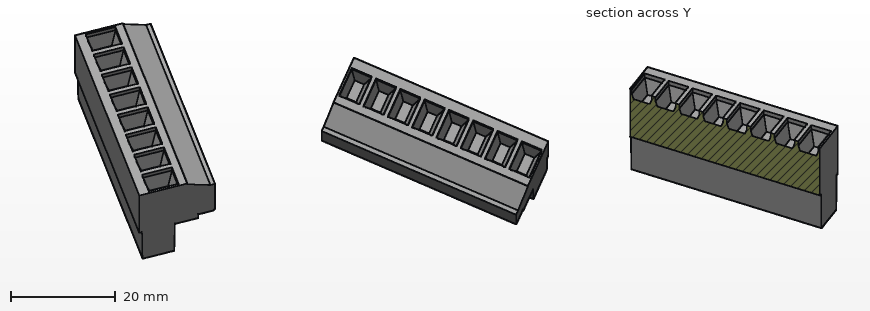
import cadquery as cq
import math

LENGTH = 40.65
DEPTH = 15.2
HEIGHT = 20.0
POLE_COUNT = 8
PITCH = LENGTH / POLE_COUNT

RIDGE_Y = 9.65
RIDGE_STEP = 0.25
BACK_LEDGE = 0.95
BACK_TOP_Z = HEIGHT - 2.3
BACK_BOTTOM_Z = 9.45
BACK_CORNER_RADIUS = 0.65
STEP_Y = 11.83
SHOULDER_Z = 8.35

PLUG_FRONT_Y = 0.53
PLUG_BACK_Y = 7.15
PLUG_TAPER = 0.12

POCKET_WIDTH = 4.2
POCKET_DEPTH_Y = 5.97
POCKET_FRONT_Y = 2.05
MOUTH_DEPTH = 1.0
FUNNEL_INSET = 1.1
FUNNEL_DEPTH = 3.05

LATCH_LENGTH = LENGTH - 2 * PITCH
LATCH_FRONT_Y = 9.65
LATCH_ROOT_THICKNESS = 1.8
LATCH_TIP_THICKNESS = 1.25
LATCH_DROP = 4.25
LATCH_TIP_LAND = 0.33
BARB_PROJECTION = 0.3
BARB_TOP_DROP = 2.75
BARB_HEIGHT = 0.85
BACK_BEVEL_DROP = 3.05


def extrude_profile(points, length):
    """Extrude a closed (Y, Z) outline along X, centred on the YZ plane."""
    return cq.Workplane("YZ").polyline(points).close().extrude(length / 2, both=True)


def make_housing():
    outline = [
        (0, HEIGHT),
        (RIDGE_Y, HEIGHT),
        (RIDGE_Y, HEIGHT - RIDGE_STEP),
        (DEPTH - BACK_LEDGE, BACK_TOP_Z),
        (DEPTH, BACK_TOP_Z),
        (DEPTH, BACK_BOTTOM_Z),
        (STEP_Y, BACK_BOTTOM_Z),
        (STEP_Y, SHOULDER_Z),
        (PLUG_BACK_Y, SHOULDER_Z),
        (PLUG_BACK_Y - PLUG_TAPER, 0),
        (PLUG_FRONT_Y + PLUG_TAPER, 0),
        (PLUG_FRONT_Y, SHOULDER_Z),
        (0, SHOULDER_Z),
    ]
    housing = extrude_profile(outline, LENGTH)
    lower_back_edge = housing.faces(">Y").edges("<Z")
    return lower_back_edge.fillet(BACK_CORNER_RADIUS)


def make_latch():
    barb_y = LATCH_FRONT_Y - BARB_PROJECTION
    barb_top_z = SHOULDER_Z - BARB_TOP_DROP
    tip_z = SHOULDER_Z - LATCH_DROP
    outline = [
        (LATCH_FRONT_Y, SHOULDER_Z),
        (LATCH_FRONT_Y, barb_top_z),
        (barb_y, barb_top_z - BARB_PROJECTION),
        (barb_y, barb_top_z - BARB_HEIGHT),
        (LATCH_FRONT_Y, tip_z),
        (LATCH_FRONT_Y + LATCH_TIP_LAND, tip_z),
        (LATCH_FRONT_Y + LATCH_TIP_THICKNESS, SHOULDER_Z - BACK_BEVEL_DROP),
        (LATCH_FRONT_Y + LATCH_ROOT_THICKNESS, SHOULDER_Z),
    ]
    return extrude_profile(outline, LATCH_LENGTH)


def make_pocket_cutters():
    taper_angle = math.degrees(math.atan2(FUNNEL_INSET, FUNNEL_DEPTH))
    centre_y = POCKET_FRONT_Y + POCKET_DEPTH_Y / 2
    mouths = (
        cq.Workplane("XY", origin=(0, centre_y, HEIGHT))
        .rarray(PITCH, 0.4, POLE_COUNT, 1)
        .rect(POCKET_WIDTH, POCKET_DEPTH_Y)
        .extrude(-MOUTH_DEPTH)
    )
    funnels = (
        cq.Workplane("XY", origin=(0, centre_y, HEIGHT - MOUTH_DEPTH))
        .rarray(PITCH, 0.4, POLE_COUNT, 1)
        .rect(POCKET_WIDTH, POCKET_DEPTH_Y)
        .extrude(-FUNNEL_DEPTH, taper=taper_angle)
    )
    return mouths.union(funnels)


result = make_housing().union(make_latch()).cut(make_pocket_cutters())